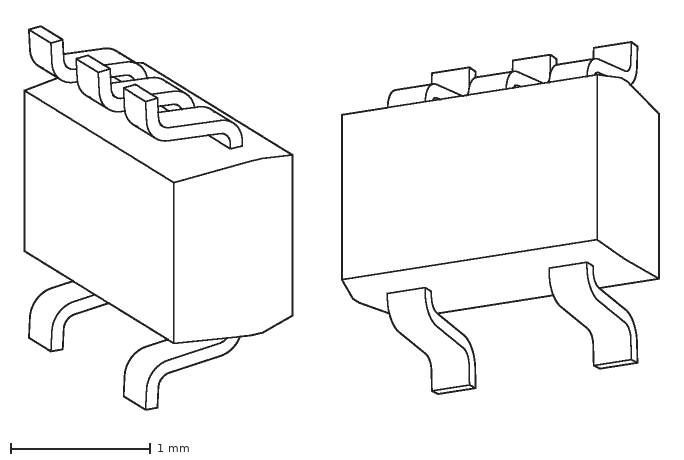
import cadquery as cq
import math


body_length = 2.15
body_width = 1.35
draft_inset = 0.053
band_thickness = 0.105
back_depth = 0.283
front_depth = 0.61

lead_span = 2.4
lead_reach = 0.763
lead_pitch = 0.648
lead_width = 0.302
lead_thickness = 0.1
bend_radius = 0.15
stub_length = 0.038
embed_depth = 0.095
slope_angle = math.radians(85)
foot_angle = math.radians(3)

upper_lead_columns = (-1, 0, 1)
lower_lead_columns = (-1, 1)


def tapered_half(start_y, depth, direction):
    """Half of the body, narrowing from the parting band outwards."""
    return (
        cq.Workplane("XZ", origin=(0, start_y, 0))
        .rect(body_length, body_width)
        .workplane(offset=-direction * depth)
        .rect(body_length - 2 * draft_inset, body_width - 2 * draft_inset)
        .loft(ruled=True)
    )


def make_body():
    band = cq.Workplane("XY").box(body_length, band_thickness, body_width)
    back = tapered_half(band_thickness / 2, back_depth, 1)
    front = tapered_half(-band_thickness / 2, front_depth, -1)
    return band.union(back).union(front)


def first_bend_point(angle):
    """Point (y, z) on the bend next to the body where the lead leans by angle."""
    bend_z = body_width / 2 + stub_length
    return (
        -bend_radius * (1 - math.cos(angle)),
        bend_z + bend_radius * math.sin(angle),
    )


def foot_bend_point(center, angle):
    """Point (y, z) on the bend before the foot where the lead leans by angle."""
    return (
        center[0] - bend_radius * math.cos(angle),
        center[1] - bend_radius * math.sin(angle),
    )


def make_upper_lead():
    """Gull-wing lead at X = 0 on the +Z side, swept along its centre line."""
    half_thickness = lead_thickness / 2
    start = (0, body_width / 2 - embed_depth)
    slope_start = first_bend_point(slope_angle)

    tip = (
        -lead_reach + half_thickness * math.cos(foot_angle),
        lead_span / 2 - half_thickness * math.sin(foot_angle),
    )

    second_bend_y = -bend_radius * (math.cos(foot_angle) - math.cos(slope_angle))
    second_bend_z = bend_radius * (math.sin(slope_angle) - math.sin(foot_angle))
    straight_y = tip[0] - slope_start[0] - second_bend_y
    straight_z = tip[1] - slope_start[1] - second_bend_z
    square_to_foot = straight_y * math.cos(foot_angle) + straight_z * math.sin(foot_angle)
    slope_length = -square_to_foot / math.sin(slope_angle - foot_angle)

    slope_end = (
        slope_start[0] - slope_length * math.sin(slope_angle),
        slope_start[1] + slope_length * math.cos(slope_angle),
    )
    center = (
        slope_end[0] + bend_radius * math.cos(slope_angle),
        slope_end[1] + bend_radius * math.sin(slope_angle),
    )
    center_line = (
        cq.Workplane("YZ")
        .moveTo(*start)
        .lineTo(*first_bend_point(0))
        .threePointArc(first_bend_point(slope_angle / 2), slope_start)
        .lineTo(*slope_end)
        .threePointArc(
            foot_bend_point(center, (slope_angle + foot_angle) / 2),
            foot_bend_point(center, foot_angle),
        )
        .lineTo(*tip)
    )
    section = cq.Workplane("XY", origin=(0, *start)).rect(lead_width, lead_thickness)
    return section.sweep(center_line)


result = make_body()
upper_lead = make_upper_lead()
lower_lead = upper_lead.mirror("XY")
for column in upper_lead_columns:
    result = result.union(upper_lead.translate((column * lead_pitch, 0, 0)))
for column in lower_lead_columns:
    result = result.union(lower_lead.translate((column * lead_pitch, 0, 0)))